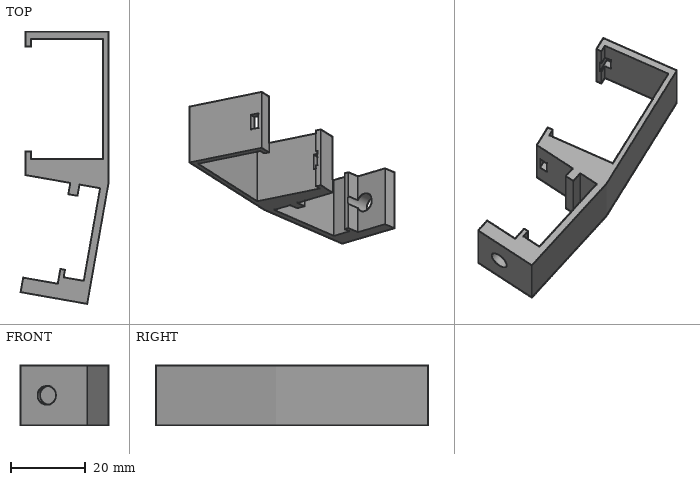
import cadquery as cq
import math

total_length = 72.7
height = 16.0
bend_angle = 10.0

channel_depth = 22.2
channel_inner_length = 32.0
channel_wall = 2.0
channel_spine = 1.5
lip_thickness = 1.5
lip_length = 2.0

bend_y = -40.6
bracket_spine = 2.0
middle_wall_corner_y = -38.3
arm_length = 18.1
arm_thickness = 4.0
arm_root_thickness = 5.95

upper_rib_near = 7.55
upper_rib_far = 10.1
upper_rib_length = 3.05
lower_rib_near = 7.4
lower_rib_far = 8.7
lower_rib_top = 8.0

hole_diameter = 5.0
hole_from_spine = 11.0
slot_from_edge = 1.1
slot_width = 2.25
slot_height = 4.15

tilt = math.radians(bend_angle)
bracket_length = (total_length + bend_y) / math.cos(tilt)
middle_face = (bend_y - middle_wall_corner_y) * math.cos(tilt) + channel_depth * math.sin(tilt)
arm_inner = bracket_length - arm_thickness
arm_root = bracket_length - arm_root_thickness


def bracket_point(inward, down):
    """XY point at a distance inward from the bracket spine and down from the bend."""
    x = -inward * math.cos(tilt) - down * math.sin(tilt)
    y = bend_y + inward * math.sin(tilt) - down * math.cos(tilt)
    return (x, y)


def make_body():
    lip_x = lip_thickness - channel_depth
    upper_wall_y = -channel_wall
    lower_wall_y = upper_wall_y - channel_inner_length
    channel_outline = [
        (0, bend_y),
        (0, 0),
        (-channel_depth, 0),
        (-channel_depth, upper_wall_y - lip_length),
        (lip_x, upper_wall_y - lip_length),
        (lip_x, upper_wall_y),
        (-channel_spine, upper_wall_y),
        (-channel_spine, lower_wall_y),
        (lip_x, lower_wall_y),
        (lip_x, lower_wall_y + lip_length),
        (-channel_depth, lower_wall_y + lip_length),
        (-channel_depth, middle_wall_corner_y),
    ]
    bracket_outline = [
        (upper_rib_far, middle_face),
        (upper_rib_far, middle_face + upper_rib_length),
        (upper_rib_near, middle_face + upper_rib_length),
        (upper_rib_near, middle_face),
        (bracket_spine, middle_face),
        (bracket_spine, arm_root),
        (lower_rib_near, arm_root),
        (lower_rib_near, bracket_length - lower_rib_top),
        (lower_rib_far, bracket_length - lower_rib_top),
        (lower_rib_far, arm_inner),
        (arm_length, arm_inner),
        (arm_length, bracket_length),
        (0, bracket_length),
    ]
    outline = channel_outline + [bracket_point(*point) for point in bracket_outline]
    return cq.Workplane("XY").polyline(outline).close().extrude(height)


def make_arm_hole():
    """Hole square to the arm, grazing the side of the lower rib."""
    x, y = bracket_point(hole_from_spine, bracket_length)
    axis = cq.Vector(math.sin(tilt), math.cos(tilt), 0)
    start = cq.Vector(x, y, height / 2)
    return cq.Solid.makeCylinder(hole_diameter / 2, lower_rib_top, start, axis)


def make_wall_slot():
    """Slot along Y through both channel walls, notching the inner side of each lip."""
    return (
        cq.Workplane("XY")
        .box(slot_width, -bend_y, slot_height, centered=(False, False, True))
        .translate((slot_from_edge - channel_depth, bend_y, height / 2))
    )


result = make_body().cut(make_arm_hole()).cut(make_wall_slot())